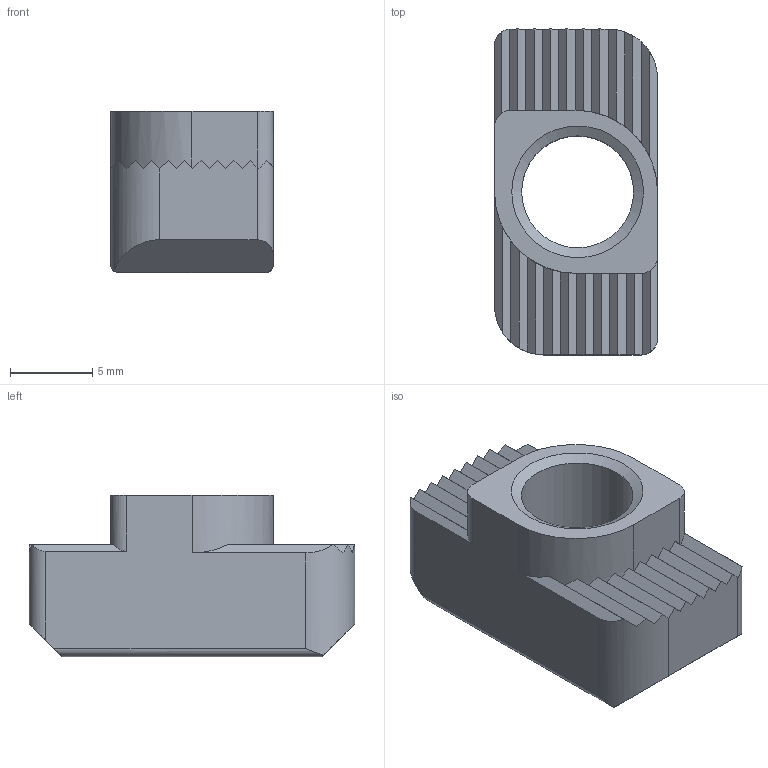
import cadquery as cq
import math


width = 9.9
length = 2 * width
base_height = 6.8
lead_corner_radius = 3.0
stop_corner_radius = 1.0
bottom_edge_radius = 0.5
end_chamfer = 2.0

tooth_pitch = 1.0
tooth_depth = tooth_pitch / 2

total_height = 9.8
neck_lead_radius = width / 2

hole_diameter = 6.8
hole_mouth_diameter = 8.0
hole_offset = 0.1
countersink_slope = 30

half_width = width / 2
half_length = length / 2
root_height = base_height - tooth_depth
countersink_width = (hole_mouth_diameter - hole_diameter) / 2
countersink_depth = countersink_width * math.tan(math.radians(countersink_slope))


def corner_pair(x, y, z):
    """Selector for the edge nearest (x, y, z) and the one diagonally opposite."""
    corner = cq.selectors.NearestToPointSelector((x, y, z))
    opposite_corner = cq.selectors.NearestToPointSelector((-x, -y, z))
    return cq.selectors.SumSelector(corner, opposite_corner)


def twist_in_block(size_y, height, lead_radius):
    """Block with two diagonal lead corners of lead_radius and two smaller stop corners."""
    block = cq.Workplane("XY").rect(width, size_y).extrude(height)
    stop_edges = corner_pair(half_width, -size_y / 2, height / 2)
    lead_edges = corner_pair(-half_width, -size_y / 2, height / 2)
    block = block.edges("|Z").edges(stop_edges).fillet(stop_corner_radius)
    return block.edges("|Z").edges(lead_edges).fillet(lead_radius)


def serrated_half():
    """Bar over the -Y half: toothed on top, with both long bottom edges rounded."""
    arc_inset = bottom_edge_radius * (1 - math.sqrt(0.5))
    profile = (
        cq.Workplane("XZ")
        .moveTo(-half_width + bottom_edge_radius, 0)
        .lineTo(half_width - bottom_edge_radius, 0)
        .threePointArc((half_width - arc_inset, arc_inset), (half_width, bottom_edge_radius))
    )

    tooth_count = math.ceil(width / tooth_pitch)
    last_root_x = -half_width + tooth_count * tooth_pitch
    flank_cut_height = root_height + (last_root_x - half_width)
    profile = profile.lineTo(half_width, flank_cut_height)
    for tooth in reversed(range(tooth_count)):
        root_x = -half_width + tooth * tooth_pitch
        profile = profile.lineTo(root_x + tooth_pitch / 2, base_height).lineTo(root_x, root_height)

    profile = profile.lineTo(-half_width, bottom_edge_radius).threePointArc(
        (-half_width + arc_inset, arc_inset), (-half_width + bottom_edge_radius, 0)
    )
    return profile.close().extrude(half_length)


def end_chamfered_bar():
    """Bar as long as the base, chamfered under both ends."""
    bar = cq.Workplane("XY").box(width, length, base_height, centered=(True, True, False))
    return bar.faces("<Z").edges("|X").chamfer(end_chamfer)


def make_base():
    front_half = serrated_half()
    back_half = front_half.rotate((0, 0, 0), (0, 0, 1), 180)
    outline = twist_in_block(length, base_height, lead_corner_radius)
    return front_half.union(back_half).intersect(outline).intersect(end_chamfered_bar())


def make_neck():
    """Neck as deep as the base is wide, starting half way up inside the base."""
    neck_bottom = base_height / 2
    neck = twist_in_block(width, total_height - neck_bottom, neck_lead_radius)
    return neck.translate((0, 0, neck_bottom))


def make_hole():
    """Through hole with a shallow countersink at the top."""
    bore = cq.Workplane("XY").circle(hole_diameter / 2).extrude(total_height)
    mouth = (
        cq.Workplane("XY", origin=(0, 0, total_height))
        .circle(hole_mouth_diameter / 2)
        .workplane(offset=-countersink_depth)
        .circle(hole_diameter / 2)
        .loft()
    )
    return bore.union(mouth).translate((hole_offset, 0, 0))


result = make_base().union(make_neck()).clean().cut(make_hole())